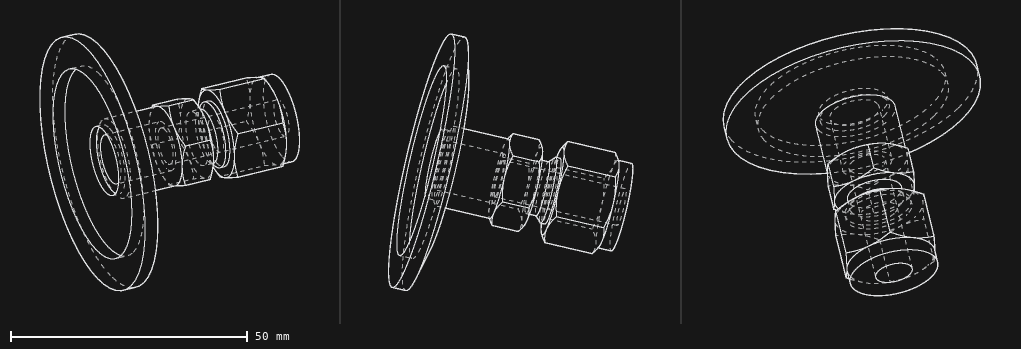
import cadquery as cq
import math


flange_diameter = 55.0
flange_rim_thickness = 2.95
flange_thickness = 5.0
flange_land_diameter = 40.15
recess_diameter = 41.2
recess_depth = 2.75
counterbore_diameter = 15.0
counterbore_depth = 1.5

stub_diameter = 17.25
stub_end = 16.9
body_hex_flats = stub_diameter
body_hex_end = 24.15
neck_diameter = 11.75
neck_end = 26.35
collar_diameter = 14.3
collar_cone_end = neck_end + (collar_diameter - neck_diameter) / 2
collar_end = 28.55

stub_bore_diameter = 10.65
through_bore_diameter = 7.9

nut_flats = 19.05
nut_hex_end = 40.6
nut_end = 43.6

hex_chamfer_angle = math.radians(30)


def cylinder(diameter, start, end):
    """Cylinder about the Y axis from Y = start to Y = end."""
    return cq.Workplane("XZ", origin=(0, start, 0)).circle(diameter / 2).extrude(start - end)


def revolve_profile(points):
    """Revolve a closed outline of (radius, Y) points about the Y axis."""
    return cq.Workplane("XY").polyline(points).close().revolve(360, (0, 0, 0), (0, 1, 0))


def chamfered_hexagon(flats, start, end):
    """Hexagonal prism with flats facing +X and -X and conically chamfered corners."""
    flat_radius = flats / 2
    corner_radius = flat_radius / math.cos(math.pi / 6)
    chamfer_length = (corner_radius - flat_radius) * math.tan(hex_chamfer_angle)
    prism = (
        cq.Workplane("XZ", origin=(0, start, 0))
        .polygon(6, 2 * corner_radius)
        .extrude(start - end)
        .rotate((0, 0, 0), (0, 1, 0), 30)
    )
    corner_envelope = revolve_profile([
        (0, start),
        (flat_radius, start),
        (corner_radius, start + chamfer_length),
        (corner_radius, end - chamfer_length),
        (flat_radius, end),
        (0, end),
    ])
    return prism.intersect(corner_envelope)


def make_flange():
    """Disc with a tapered back and a stepped recess in its sealing face."""
    disc = revolve_profile([
        (0, 0),
        (flange_diameter / 2, 0),
        (flange_diameter / 2, flange_rim_thickness),
        (flange_land_diameter / 2, flange_thickness),
        (0, flange_thickness),
    ])
    recess = cylinder(recess_diameter, 0, recess_depth)
    counterbore = cylinder(counterbore_diameter, recess_depth, recess_depth + counterbore_depth)
    return disc.cut(recess).cut(counterbore)


def make_neck():
    """Narrow neck that widens through a cone to the collar under the nut."""
    return revolve_profile([
        (0, body_hex_end),
        (neck_diameter / 2, body_hex_end),
        (neck_diameter / 2, neck_end),
        (collar_diameter / 2, collar_cone_end),
        (collar_diameter / 2, collar_end),
        (0, collar_end),
    ])


def make_fitting_body():
    """Flange, stub, hexagon and neck in one piece, with a stepped bore."""
    stub = cylinder(stub_diameter, recess_depth + counterbore_depth, stub_end)
    hexagon = chamfered_hexagon(body_hex_flats, stub_end, body_hex_end)
    body = make_flange().union(stub).union(hexagon).union(make_neck())
    stub_bore = cylinder(stub_bore_diameter, 0, stub_end)
    through_bore = cylinder(through_bore_diameter, 0, collar_end)
    return body.cut(stub_bore).cut(through_bore)


def make_nut():
    """Hexagonal nut with a round end, seated on the collar."""
    hexagon = chamfered_hexagon(nut_flats, collar_end, nut_hex_end)
    round_end = cylinder(nut_flats, nut_hex_end, nut_end)
    through_bore = cylinder(through_bore_diameter, collar_end, nut_end)
    return hexagon.union(round_end).cut(through_bore)


fitting_body = make_fitting_body()
nut = make_nut()
result = cq.Compound.makeCompound([fitting_body.solids().val(), nut.solids().val()])